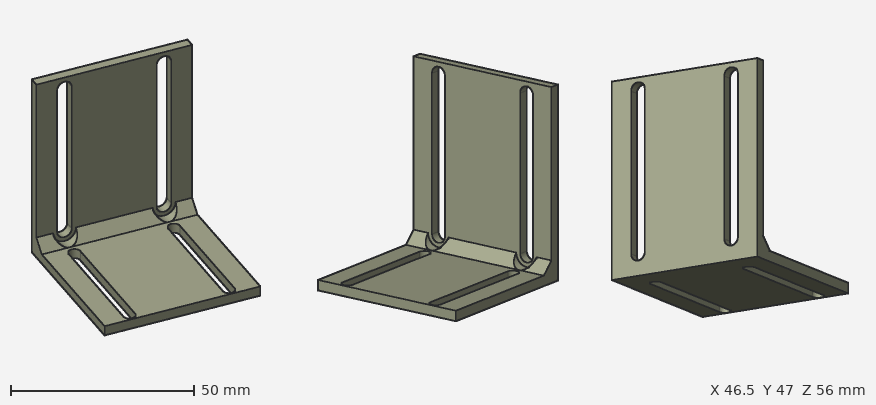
import cadquery as cq

length = 46.55
width = 47.0
height = 56.0
thickness = 3.0
gusset_leg = 3.5
gusset_end = thickness + gusset_leg

slot_spacing = 30.0
wall_slot_width = 4.35
wall_slot_bottom = 4.3
wall_slot_top = 54.6
base_slot_width = 3.5
base_slot_start = 7.6
base_slot_end = 46.1

clearance_radius = gusset_leg


def bracket_body():
    """L-shaped bracket with a sloped gusset, centred on Y."""
    return (
        cq.Workplane("XZ")
        .moveTo(0, 0)
        .lineTo(length, 0)
        .lineTo(length, thickness)
        .lineTo(gusset_end, thickness)
        .lineTo(thickness, gusset_end)
        .lineTo(thickness, height)
        .lineTo(0, height)
        .close()
        .extrude(width / 2, both=True)
    )


def wall_slot(y):
    """Upright slot through the wall and the gusset behind it."""
    slot_length = wall_slot_top - wall_slot_bottom
    return (
        cq.Workplane("YZ")
        .center(y, (wall_slot_bottom + wall_slot_top) / 2)
        .slot2D(slot_length, wall_slot_width, 90)
        .extrude(gusset_end)
    )


def base_slot(y):
    """Slot along X through the base."""
    slot_length = base_slot_end - base_slot_start
    return (
        cq.Workplane("XY")
        .center((base_slot_start + base_slot_end) / 2, y)
        .slot2D(slot_length, base_slot_width)
        .extrude(thickness)
    )


def head_clearance(y):
    """Round recess in the gusset, starting at the inner wall face."""
    return (
        cq.Workplane("YZ", origin=(thickness, y, gusset_end))
        .circle(clearance_radius)
        .extrude(gusset_leg)
    )


result = bracket_body()
for slot_y in (-slot_spacing / 2, slot_spacing / 2):
    result = result.cut(wall_slot(slot_y))
    result = result.cut(base_slot(slot_y))
    result = result.cut(head_clearance(slot_y))